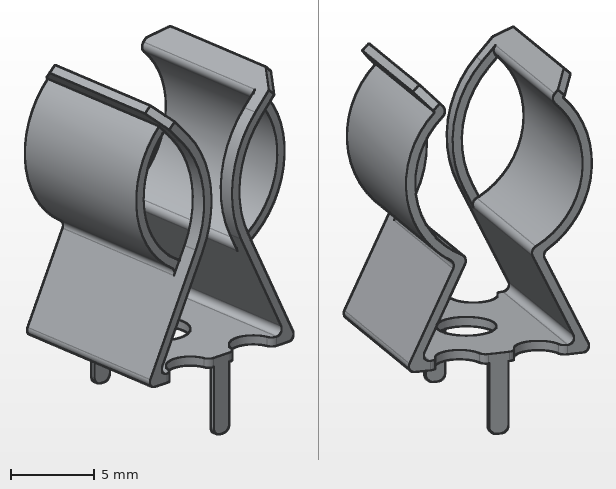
import cadquery as cq
import math

length = 11.1
height = 22.2
bulge_width = 11.95
sheet = 0.6
half_length = length / 2

base_bottom = 4.5
base_top = base_bottom + sheet
hole_diameter = 3.62
pin_width = 1.25
pin_thickness = 0.3
pin_tip_radius = 0.49
notch_radius = 1.47
notch_offset = 2.53
notch_round = 0.45

leg_angle = math.radians(26.3)
lip_angle = math.radians(43)
pinch_gap = 1.65
pinch_radius = 7.04
pinch_height = 15.35
strap_width = 1.02
bulge_length = length - strap_width
lip_chamfer = 1.25
foot_round = 0.4

bulge_radius = 6.04
bulge_height = 16.43
lip_bend_radius = 0.45
leg_bend_radius = 0.45
neck_round = 0.4

pinch_center = (pinch_gap / 2 + pinch_radius, pinch_height)
bulge_center = (bulge_width / 2 - bulge_radius, bulge_height)


def on_circle(center, radius, angle):
    """Point of a circle in the YZ plane, at an angle measured from +Y."""
    return (center[0] + radius * math.cos(angle), center[1] + radius * math.sin(angle))


def leg_point(z, depth):
    """Point of the leg at height z, at a depth below its inner face."""
    y0, z0 = on_circle(pinch_center, pinch_radius - depth, math.pi + leg_angle)
    return (y0 + (z0 - z) * math.tan(leg_angle), z)


def lip_point(z, depth):
    """Point of the lip at height z, at a depth below its inner face."""
    y0, z0 = on_circle(pinch_center, pinch_radius - depth, math.pi - lip_angle)
    return (y0 + (z - z0) * math.tan(lip_angle), z)


def line_meets_circle(point, slope_angle, center, radius, side):
    """Where a line meets a circle; side is +1 for the upper and -1 for the lower crossing."""
    dy, dz = math.sin(slope_angle), math.cos(slope_angle)
    y, z = point[0] - center[0], point[1] - center[1]
    along = y * dy + z * dz
    step = -along + side * math.sqrt(along ** 2 - (y ** 2 + z ** 2 - radius ** 2))
    return (point[0] + step * dy, point[1] + step * dz)


leg_foot = leg_point(base_bottom, 0)
leg_foot_outer = leg_point(base_bottom, sheet)
lip_tip = lip_point(height, 0)
lip_tip_outer = lip_point(height - sheet * math.sin(lip_angle), sheet)


def round_corner(wall, width, corner, radius):
    """Round the edge that runs through a profile corner of a wall extruded from x = 0."""
    return wall.edges(cq.NearestToPointSelector((width / 2, *corner))).fillet(radius)


def strap_wall():
    """Narrow wall that curves inward to the pinch, at the +X end."""
    inner_low = on_circle(pinch_center, pinch_radius, math.pi + leg_angle)
    inner_high = on_circle(pinch_center, pinch_radius, math.pi - lip_angle)
    outer_low = on_circle(pinch_center, pinch_radius - sheet, math.pi + leg_angle)
    outer_high = on_circle(pinch_center, pinch_radius - sheet, math.pi - lip_angle)
    wall = (
        cq.Workplane("YZ")
        .moveTo(*leg_foot)
        .lineTo(*inner_low)
        .threePointArc(on_circle(pinch_center, pinch_radius, math.pi), inner_high)
        .lineTo(*lip_tip)
        .lineTo(*lip_tip_outer)
        .lineTo(*outer_high)
        .threePointArc(on_circle(pinch_center, pinch_radius - sheet, math.pi), outer_low)
        .lineTo(*leg_foot_outer)
        .close()
        .extrude(strap_width)
    )
    wall = round_corner(wall, strap_width, leg_foot_outer, foot_round)
    return wall.translate((half_length - strap_width, 0, 0))


def bulge_wall():
    """Wide wall that bulges outward, over the rest of the length."""
    neck_in = line_meets_circle(leg_foot, -leg_angle, bulge_center, bulge_radius - sheet, -1)
    neck_out = line_meets_circle(leg_foot_outer, -leg_angle, bulge_center, bulge_radius, -1)
    crest_in = line_meets_circle(lip_tip, lip_angle, bulge_center, bulge_radius - sheet, 1)
    crest_out = line_meets_circle(lip_tip_outer, lip_angle, bulge_center, bulge_radius, 1)

    wall = (
        cq.Workplane("YZ")
        .moveTo(*leg_foot)
        .lineTo(*neck_in)
        .threePointArc(on_circle(bulge_center, bulge_radius - sheet, 0), crest_in)
        .lineTo(*lip_tip)
        .lineTo(*lip_tip_outer)
        .lineTo(*crest_out)
        .threePointArc(on_circle(bulge_center, bulge_radius, 0), neck_out)
        .lineTo(*leg_foot_outer)
        .close()
        .extrude(bulge_length)
    )

    roundings = (
        (leg_foot_outer, foot_round),
        (neck_in, leg_bend_radius),
        (neck_out, neck_round),
        (crest_in, lip_bend_radius),
    )
    for corner, radius in roundings:
        wall = round_corner(wall, bulge_length, corner, radius)
    return wall.translate((-half_length, 0, 0))


def side_wall():
    """Complete +Y wall with the two top corners of its lip cut off at 45 degrees."""
    wall = strap_wall().union(bulge_wall())
    lip_plane = cq.Plane(
        origin=(0, *lip_tip),
        xDir=(1, 0, 0),
        normal=(0, math.cos(lip_angle), -math.sin(lip_angle)),
    )
    for end in (-half_length, half_length):
        inboard = end - math.copysign(lip_chamfer, end)
        corner = (
            cq.Workplane(lip_plane)
            .polyline([(end, 0), (inboard, 0), (end, lip_chamfer)])
            .close()
            .extrude(sheet)
        )
        wall = wall.cut(corner)
    return wall


def base_plate():
    """Bottom plate with a central hole and rounded notches beside each pin."""
    plate = (
        cq.Workplane("XY")
        .workplane(offset=base_bottom)
        .rect(length, 2 * leg_foot[0])
        .extrude(sheet)
        .faces(">Z")
        .workplane()
        .hole(hole_diameter)
    )
    notches = (
        cq.Workplane("XY")
        .workplane(offset=base_bottom)
        .rect(length, 2 * notch_offset, forConstruction=True)
        .vertices()
        .circle(notch_radius)
        .extrude(sheet)
    )
    plate = plate.cut(notches)
    for end in (-half_length, half_length):
        for y in (notch_offset - notch_radius, notch_offset + notch_radius):
            for side in (-1, 1):
                corner = (end, side * y, base_bottom + sheet / 2)
                plate = plate.edges(cq.NearestToPointSelector(corner)).fillet(notch_round)
    return plate


def pin(x):
    """Flat pin with a rounded tip, starting at x and reaching up to the plate top."""
    return (
        cq.Workplane("XY")
        .box(pin_thickness, pin_width, base_top, centered=(False, True, False))
        .edges("|X and <Z")
        .fillet(pin_tip_radius)
        .translate((x, 0, 0))
    )


def bend_fill():
    """Concave fillet inside the bend between the plate and the +Y leg."""
    y_corner = leg_point(base_top, 0)[0]
    tangent = foot_round * math.tan((math.pi / 2 + leg_angle) / 2)
    center = (y_corner - tangent, base_top + foot_round)
    return (
        cq.Workplane("YZ")
        .moveTo(y_corner, base_top)
        .lineTo(center[0], base_top)
        .threePointArc(
            on_circle(center, foot_round, (leg_angle - math.pi / 2) / 2),
            on_circle(center, foot_round, leg_angle),
        )
        .close()
        .extrude(half_length, both=True)
    )


wall = side_wall().union(bend_fill())
result = (
    base_plate()
    .union(wall)
    .union(wall.mirror("XZ"))
    .union(pin(-half_length))
    .union(pin(half_length - pin_thickness))
)